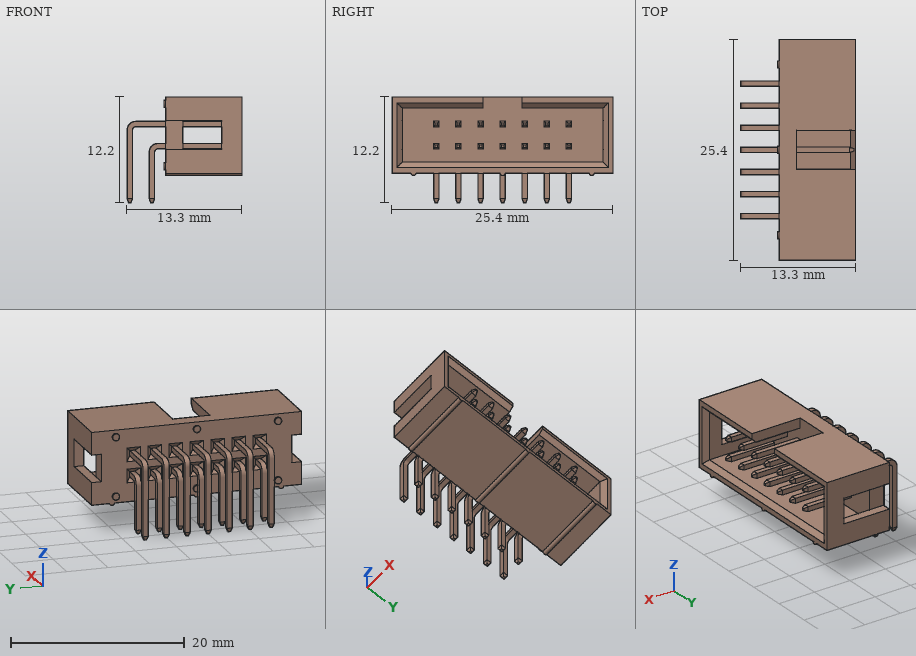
import cadquery as cq


overall_depth = 13.25
overall_height = 12.2

housing_depth = 8.8
housing_length = 25.45
housing_height = 8.8
base_thickness = 1.98
long_wall = 1.3
end_wall = 1.17
mouth_chamfer = 0.6

key_slot_width = 4.5
side_slot_height = 3.3
side_slot_end = 6.44

pins_per_row = 7
pitch = 2.55
pin_width = 0.64
pin_bend_radius = 1.02
pin_tip_length = 0.48
pin_tip_width = 0.28
pin_front_gap = 0.23
rear_pin_face = housing_depth - overall_depth
pin_bottom = housing_height - overall_height
pin_front = housing_depth - pin_front_gap

pocket_width = 1.65
pocket_depth = 0.5

standoff_diameter = 0.85
standoff_height = 0.23
standoff_spacing = 9.82
standoff_edge_distance = 0.81

rib_width = 0.6
rib_height = 0.25
rib_spacing = 10.25

middle_height = housing_height / 2
pin_columns = [(i - (pins_per_row - 1) / 2) * pitch for i in range(pins_per_row)]
pin_rows = [
    (middle_height + pitch / 2, rear_pin_face),
    (middle_height - pitch / 2, rear_pin_face + pitch),
]


def block(x_range, y_range, z_range):
    """Box spanning the given (low, high) limits along each axis."""
    size = [high - low for low, high in (x_range, y_range, z_range)]
    corner = (x_range[0], y_range[0], z_range[0])
    return cq.Workplane("XY").box(*size, centered=False).translate(corner)


def taper(plane, start_width, end_width, length):
    """Square frustum starting on a plane and narrowing along the plane normal."""
    return (
        cq.Workplane(plane)
        .rect(start_width, start_width)
        .workplane(offset=length)
        .rect(end_width, end_width)
        .loft()
    )


def make_housing():
    """Shroud open toward +X, with a key slot in the top and a slot in each end wall."""
    half_length = housing_length / 2
    housing = block((0, housing_depth), (-half_length, half_length), (0, housing_height))

    cavity_length = housing_length - 2 * end_wall
    cavity_height = housing_height - 2 * long_wall
    cavity = block(
        (base_thickness, housing_depth),
        (-cavity_length / 2, cavity_length / 2),
        (long_wall, housing_height - long_wall),
    )
    mouth = (
        cq.Workplane("YZ", origin=(housing_depth - mouth_chamfer, 0, middle_height))
        .rect(cavity_length, cavity_height)
        .workplane(offset=mouth_chamfer)
        .rect(cavity_length + 2 * mouth_chamfer, cavity_height + 2 * mouth_chamfer)
        .loft()
    )
    key_slot = block(
        (base_thickness, housing_depth),
        (-key_slot_width / 2, key_slot_width / 2),
        (middle_height, housing_height),
    )
    housing = housing.cut(cavity).cut(mouth).cut(key_slot)

    slot_z = (middle_height - side_slot_height / 2, middle_height + side_slot_height / 2)
    inner_face = half_length - end_wall
    for y_range in ((-half_length, -inner_face), (inner_face, half_length)):
        housing = housing.cut(block((0, side_slot_end), y_range, slot_z))
    return housing


def make_pocket(y, z):
    """Pocket in the rear face that narrows to the pin size."""
    plane = cq.Plane(origin=(0, y, z), xDir=(0, 1, 0), normal=(1, 0, 0))
    return taper(plane, pocket_width, pin_width, pocket_depth)


def make_standoffs():
    """Two rows of three round standoffs on the rear face."""
    heights = (standoff_edge_distance, housing_height - standoff_edge_distance)
    centers = [(i * standoff_spacing, z) for i in (-1, 0, 1) for z in heights]
    return (
        cq.Workplane("YZ")
        .pushPoints(centers)
        .circle(standoff_diameter / 2)
        .extrude(-standoff_height)
    )


def make_rib(y):
    """Round-bottomed rib running the full depth of the underside."""
    return (
        cq.Workplane("YZ")
        .moveTo(y - rib_width / 2, 0)
        .threePointArc((y, -rib_height), (y + rib_width / 2, 0))
        .close()
        .extrude(housing_depth)
    )


def make_pin(y, axis_z, leg_x):
    """Square pin that runs out of the rear face and bends down, tapered at both ends."""
    top = axis_z + pin_width / 2
    leg_end = pin_bottom + pin_tip_length
    bar_end = pin_front - pin_tip_length
    inner_radius = pin_bend_radius - pin_width
    bend_x = leg_x + pin_bend_radius
    bend_z = top - pin_bend_radius
    pin = (
        cq.Workplane("XZ", origin=(0, y + pin_width / 2, 0))
        .moveTo(leg_x, leg_end)
        .lineTo(leg_x, bend_z)
        .radiusArc((bend_x, top), pin_bend_radius)
        .lineTo(bar_end, top)
        .lineTo(bar_end, top - pin_width)
        .lineTo(bend_x, top - pin_width)
        .radiusArc((leg_x + pin_width, bend_z), -inner_radius)
        .lineTo(leg_x + pin_width, leg_end)
        .close()
        .extrude(pin_width)
    )
    front_plane = cq.Plane(origin=(bar_end, y, axis_z), xDir=(0, 1, 0), normal=(1, 0, 0))
    leg_center = (leg_x + pin_width / 2, y, leg_end)
    leg_plane = cq.Plane(origin=leg_center, xDir=(1, 0, 0), normal=(0, 0, -1))
    for plane in (front_plane, leg_plane):
        pin = pin.union(taper(plane, pin_width, pin_tip_width, pin_tip_length))
    return pin


result = make_housing().union(make_standoffs())
for step in (-1, 0, 1):
    result = result.union(make_rib(step * rib_spacing))
for row_z, row_leg_x in pin_rows:
    for column_y in pin_columns:
        result = result.cut(make_pocket(column_y, row_z))
        result = result.union(make_pin(column_y, row_z, row_leg_x))